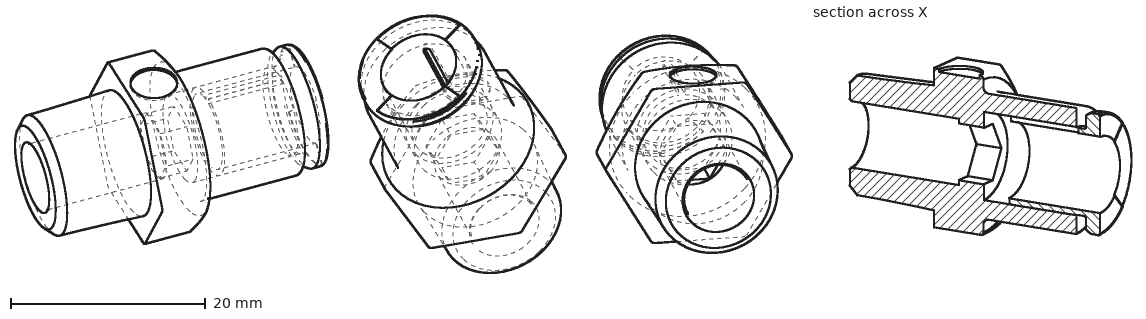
import cadquery as cq
import math


HEX_FLATS = 17.0
HEX_LENGTH = 5.98
HEX_CORNER_RADIUS = 0.55
BEVEL_FACE_RADIUS = 8.17
BEVEL_ANGLE = 30.0
BEVEL_EDGE_RADIUS = 0.25

THREAD_LENGTH = 10.1
THREAD_ROOT_RADIUS = 6.7
THREAD_TAPER = 1 / 32
THREAD_CHAMFER = 0.9

SLEEVE_RADIUS = 6.75
SLEEVE_END = 17.13
SLEEVE_FOOT_RADIUS = 0.55

BORE_RADIUS = 3.52
BORE_CHAMFER = 0.25
BORE_TOP = 3.0
SOCKET_FLATS = 6.0
POCKET_FLOOR = 6.0

BADGE_DIAMETER = 4.8
BADGE_DEPTH = 0.3
BADGE_Y = 3.07

NECK_RADIUS = 4.7
NECK_START = 9.0
NECK_FILLET = 0.18
TUBE_RADIUS = 4.05
FLANGE_RADIUS = 6.5
FLANGE_FRONT = 18.2
FLANGE_REAR = 19.85
FLANGE_CONE_LENGTH = 0.63
FLANGE_CONE_ANGLE = 30.0
PAD_HEIGHT = 0.1
SLOT_WIDTH = 0.72
SLOT_END = 17.3

EDGE_RADIUS = 0.18


def revolve_profile(points):
    """Solid of revolution about Y from (radius, y) points."""
    return cq.Workplane("XY").polyline(points).close().revolve(360, (0, 0, 0), (0, 1, 0))


def cylinder(radius, start, end):
    """Cylinder along Y between two Y positions."""
    return cq.Workplane("XZ", origin=(0, start, 0)).circle(radius).extrude(start - end)


def hexagon(flats, start, end):
    """Hexagonal prism along Y with two flats facing +Z and -Z."""
    corner_diameter = flats / math.cos(math.pi / 6)
    return cq.Workplane("XZ", origin=(0, start, 0)).polygon(6, corner_diameter).extrude(start - end)


def make_wrench_hexagon():
    prism = hexagon(HEX_FLATS, 0, HEX_LENGTH).edges("|Y").fillet(HEX_CORNER_RADIUS)
    cone_radius = HEX_FLATS
    cone_drop = (cone_radius - BEVEL_FACE_RADIUS) * math.tan(math.radians(BEVEL_ANGLE))
    bevel_cone = revolve_profile([
        (0, 0),
        (cone_radius, 0),
        (cone_radius, HEX_LENGTH - cone_drop),
        (BEVEL_FACE_RADIUS, HEX_LENGTH),
        (0, HEX_LENGTH),
    ])
    beveled = prism.intersect(bevel_cone)
    bevel_edges = beveled.faces("%CONE").edges().edges("not %CIRCLE")
    return bevel_edges.fillet(BEVEL_EDGE_RADIUS)


def make_thread():
    chamfer_start = THREAD_CHAMFER - THREAD_LENGTH
    chamfer_radius = THREAD_ROOT_RADIUS + chamfer_start * THREAD_TAPER
    return revolve_profile([
        (0, 0),
        (THREAD_ROOT_RADIUS, 0),
        (chamfer_radius, chamfer_start),
        (chamfer_radius - THREAD_CHAMFER, -THREAD_LENGTH),
        (0, -THREAD_LENGTH),
    ])


def make_sleeve():
    barrel = cylinder(SLEEVE_RADIUS, HEX_LENGTH, SLEEVE_END).faces(">Y").edges().fillet(EDGE_RADIUS)
    center = (SLEEVE_RADIUS + SLEEVE_FOOT_RADIUS, HEX_LENGTH + SLEEVE_FOOT_RADIUS)
    arc_offset = SLEEVE_FOOT_RADIUS * math.sqrt(0.5)
    foot = (
        cq.Workplane("XY")
        .moveTo(0, HEX_LENGTH)
        .lineTo(center[0], HEX_LENGTH)
        .threePointArc((center[0] - arc_offset, center[1] - arc_offset), (SLEEVE_RADIUS, center[1]))
        .lineTo(0, center[1])
        .close()
        .revolve(360, (0, 0, 0), (0, 1, 0))
    )
    return barrel.union(foot)


def make_bore():
    mouth = BORE_RADIUS + BORE_CHAMFER
    bore = revolve_profile([
        (0, -THREAD_LENGTH),
        (mouth, -THREAD_LENGTH),
        (BORE_RADIUS, BORE_CHAMFER - THREAD_LENGTH),
        (BORE_RADIUS, BORE_TOP),
        (0, BORE_TOP),
    ])
    chamfer_end = cq.selectors.NearestToPointSelector((0, BORE_CHAMFER - THREAD_LENGTH, 0))
    return bore.edges("%CIRCLE").edges(chamfer_end).fillet(EDGE_RADIUS)


def make_housing():
    body = make_wrench_hexagon().union(make_thread()).union(make_sleeve())
    body = body.cut(make_bore())
    body = body.cut(hexagon(SOCKET_FLATS, BORE_TOP, POCKET_FLOOR))
    body = body.cut(cylinder(NECK_RADIUS, POCKET_FLOOR, SLEEVE_END))
    badge = (
        cq.Workplane("XY", origin=(0, BADGE_Y, HEX_FLATS / 2))
        .circle(BADGE_DIAMETER / 2)
        .extrude(-BADGE_DEPTH)
    )
    return body.cut(badge)


def make_push_pad(direction):
    """Quarter sector raised on the rear face, around +Z (direction 1) or -Z (direction -1)."""
    pad_radius = FLANGE_RADIUS - EDGE_RADIUS
    diagonal = pad_radius * math.sqrt(0.5)
    return (
        cq.Workplane("XZ", origin=(0, FLANGE_REAR, 0))
        .lineTo(-diagonal, direction * diagonal)
        .threePointArc((0, direction * pad_radius), (diagonal, direction * diagonal))
        .close()
        .extrude(-PAD_HEIGHT)
    )


def make_collet_slot():
    """Slot that splits the neck wall at +Z, with a round end under the flange."""
    round_center = SLOT_END - SLOT_WIDTH / 2
    half_width = SLOT_WIDTH / 2
    return (
        cq.Workplane("XY")
        .moveTo(-half_width, NECK_START)
        .lineTo(-half_width, round_center)
        .threePointArc((0, SLOT_END), (half_width, round_center))
        .lineTo(half_width, NECK_START)
        .close()
        .extrude(NECK_RADIUS)
    )


def make_collar():
    cone_inset = FLANGE_CONE_LENGTH * math.tan(math.radians(FLANGE_CONE_ANGLE))
    front_face_radius = FLANGE_RADIUS - cone_inset
    flange = revolve_profile([
        (0, FLANGE_FRONT),
        (front_face_radius, FLANGE_FRONT),
        (FLANGE_RADIUS, FLANGE_FRONT + FLANGE_CONE_LENGTH),
        (FLANGE_RADIUS, FLANGE_REAR),
        (0, FLANGE_REAR),
    ])
    flange = flange.faces("<Y or >Y").edges().fillet(EDGE_RADIUS)
    for direction in (1, -1):
        flange = flange.union(make_push_pad(direction))
    collar = flange.union(cylinder(NECK_RADIUS, NECK_START, FLANGE_FRONT))
    at_flange_front = cq.selectors.NearestToPointSelector((0, FLANGE_FRONT, 0))
    neck_root = cq.selectors.RadiusNthSelector(0)
    collar = collar.faces("|Y").faces(at_flange_front).edges(neck_root).fillet(NECK_FILLET)
    collar = collar.cut(cylinder(TUBE_RADIUS, NECK_START, FLANGE_REAR + PAD_HEIGHT))
    return collar.cut(make_collet_slot())


housing = make_housing()
collar = make_collar()

result = cq.Compound.makeCompound([housing.val(), collar.val()])